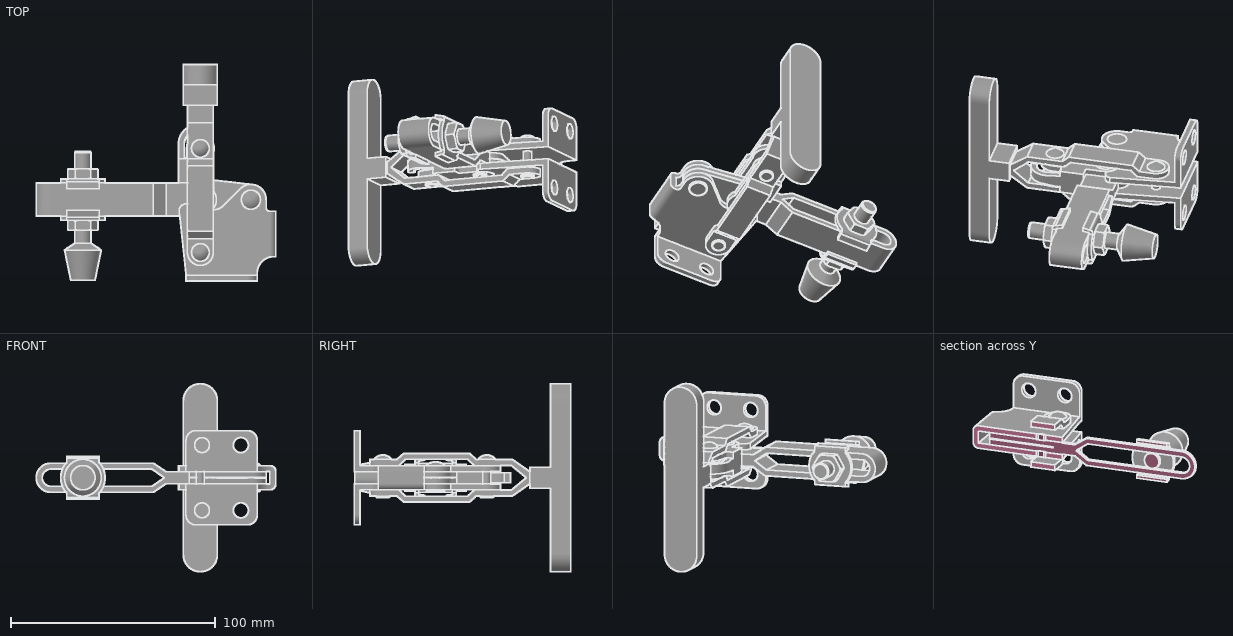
import cadquery as cq
import math


ARM_THICKNESS = 6.0
STRIP = ARM_THICKNESS / 2
PLATE_INNER = STRIP
PLATE_OUTER = 2 * STRIP
HANDLE_OUTER = 3 * STRIP
BULGE_OUTER = 4 * STRIP

BASE_HANDLE_PIVOT = (0, 14.1)
HANDLE_LINK_PIVOT = (0, 64.9)
LINK_ARM_PIVOT = (1.0, 39.8)
BASE_ARM_PIVOT = (24.7, 39.8)
PIN_RADIUS = 2.0

HANDLE_DOME_RADIUS = 4.3
HANDLE_DOME_HEIGHT = 2.2
ARM_DOME_RADIUS = 4.7
ARM_DOME_HEIGHT = 1.9
TAIL_HEAD_RADIUS = 3.3
BASE_TAIL_HEAD_RADIUS = 4.5
TAIL_HEAD_HEIGHT = 0.8
TAIL_HEAD_CHAMFER = 0.4

BASE_LEFT = -7.0
BASE_LENGTH = 34.9
BASE_RIGHT = BASE_LEFT + BASE_LENGTH
FLANGE_HALF_WIDTH = 23.1
FLANGE_CORNER = 4.9
MOUNT_HOLE_DIAMETER = 7.3
MOUNT_HOLE_X = (0.8, 19.8)
MOUNT_HOLE_Z = 15.9
LOBE_LEFT = -10.4
LOBE_SIDE_TOP = 34.8
LOBE_TOP = 37.9
LOBE_TOP_X = -6.3
LOBE_MID = (-9.3, 36.9)
VALLEY_Y = 34.9
VALLEY_FILLET = 6.5
SLOPE_ANGLE = 45
PIVOT_EYE = 7.5
EYE_RIGHT = BASE_ARM_PIVOT[0] + PIVOT_EYE
WEB_RIGHT = 36.9
WEB_INNER = WEB_RIGHT - STRIP
WEB_BOTTOM = 12.0
WEB_TOP = 34.2
WEB_BEND = 2.9
HEEL_RADIUS = 7.9

LINK_EYE = 6.8
LINK_EYE_CLEARANCE = 0.2
LINK_LEFT = -10.8
LINK_RIGHT = 6.5
LINK_WEB_BOTTOM = 48.0
LINK_WEB_TOP = 59.9
LINK_CORNER_FILLET = 1.0
HOOK_OUTER = 9.5
HOOK_CENTRE_Y = 67.0
HOOK_HALF_WIDTH = 2.5
HOOK_ROOT_Y = 62.5

ARM_BOTTOM = 31.8
ARM_TOP = LINK_WEB_BOTTOM
ARM_LEFT = -80.3
LOOP_OUTER = 7.1
LOOP_INNER = LOOP_OUTER - STRIP
LOOP_CENTRE_X = ARM_LEFT + LOOP_OUTER
LOOP_TAPER_START = -23.0
LOOP_TAPER_END = -16.8
SLOT_TAPER_START = -23.7
SLOT_APEX = -17.7
STOP_LEFT = -5.4
STOP_RIGHT = 1.9
TAIL_LOWER_RISE = 11
TAIL_UPPER_FALL = 6.5
TAIL_RAMP_START = -5.9
TAIL_SEAM = 0.2

GRIP_WIDTH = 16.8
GRIP_HALF_WIDTH = GRIP_WIDTH / 2
GRIP_LENGTH = 92.0
GRIP_TOP = 106.0
GRIP_BOTTOM = 96.0
STUB_BOTTOM = 86.0
STUB_HALF_DEPTH = 5.2
STRAP_HALF_WIDTH = 6.3
FORK_APEX = 84.1
FORK_OUTER_CORNER = 77.5
FORK_INNER_CORNER = 76.9
BULGE_OUTER_Y = (59.8, 56.5, 24.4, 20.9)
BULGE_INNER_Y = (58.7, 55.5, 25.2, 22.0)

SPINDLE_X = -57.4
SPINDLE_TOP = 63.5
ROD_RADIUS = 4.0
ROD_END_DROP = 0.7
ROD_END_INSET = 0.4
NUT_ACROSS_FLATS = 13.0
NUT_CORNER_RADIUS = NUT_ACROSS_FLATS / math.sqrt(3)
NUT_HEIGHT = 4.9
NUT_CHAMFER = 0.5
WASHER_RADIUS = 10.9
WASHER_THICKNESS = 2.0
EAR_HALF_WIDTH = 8.0
EAR_BEND_START = 8.3
EAR_BEND_MID = (1.6, 9.3)
EAR_BEND_END = (0.5, 9.6)
EAR_TIP = (-2.9, 10.4)
EAR_TIP_INNER = 8.5
EAR_ROOT_INNER = 8.1
TIP_TOP = 18.6
TIP_SHOULDER = 15.2
TIP_BOTTOM = 0.4
TIP_MAX_RADIUS = 9.0
TIP_END_RADIUS = 6.0


def circle_point(centre, radius, degrees):
    angle = math.radians(degrees)
    return (centre[0] + radius * math.cos(angle), centre[1] + radius * math.sin(angle))


def block(x_range, y_range, z_range):
    sizes = [high - low for low, high in (x_range, y_range, z_range)]
    return cq.Workplane("XY", origin=(x_range[0], y_range[0], z_range[0])).box(*sizes, centered=False)


def disc(centre, radius, z_low, z_high):
    plane = cq.Workplane("XY", origin=(centre[0], centre[1], z_low))
    return plane.circle(radius).extrude(z_high - z_low)


def both_sides(half):
    """The given shape joined with its mirror image in Z = 0."""
    return half.union(half.mirror("XY"))


def dome_arc_middle(base_radius, height):
    """Midpoint of the arc from the rim of a spherical cap to its top."""
    sphere = (base_radius**2 + height**2) / (2 * height)
    half_angle = math.asin(base_radius / sphere) / 2
    return (sphere * math.sin(half_angle), height - sphere * (1 - math.cos(half_angle)))


def rivet(centre, seat, dome_radius, dome_height, tail_radius):
    """Pin along Z with a domed head above +seat and a flat head below -seat."""
    shank = disc(centre, PIN_RADIUS, -seat, seat)
    dome = (
        cq.Workplane("XZ", origin=(centre[0], centre[1], seat))
        .lineTo(dome_radius, 0)
        .threePointArc(dome_arc_middle(dome_radius, dome_height), (0, dome_height))
        .close()
        .revolve(360, (0, 0), (0, 1))
    )
    tail = disc(centre, tail_radius, -seat - TAIL_HEAD_HEIGHT, -seat)
    tail = tail.faces("<Z").chamfer(TAIL_HEAD_CHAMFER)
    return shank.union(dome).union(tail)


def base_profile():
    """Outline shared by both side plates and the web that joins them, at full width."""
    clearance = LINK_EYE + LINK_EYE_CLEARANCE
    link_x, link_y = LINK_ARM_PIVOT
    valley_left = link_x - math.sqrt(clearance**2 - (LOBE_TOP - link_y) ** 2)
    valley_right = link_x + math.sqrt(clearance**2 - (VALLEY_Y - link_y) ** 2)
    slope_top = circle_point(BASE_ARM_PIVOT, PIVOT_EYE, SLOPE_ANGLE + 90)
    slope = math.radians(SLOPE_ANGLE)
    slope_foot_x = slope_top[0] - (slope_top[1] - VALLEY_Y) / math.tan(slope)
    setback = VALLEY_FILLET * math.tan(slope / 2)
    slope_start = (slope_foot_x + setback * math.cos(slope), VALLEY_Y + setback * math.sin(slope))
    shoulder_radius = WEB_INNER - EYE_RIGHT
    heel_centre = (BASE_RIGHT + HEEL_RADIUS, WEB_BOTTOM - HEEL_RADIUS)
    return (
        cq.Workplane("XY", origin=(0, 0, -PLATE_OUTER))
        .moveTo(BASE_LEFT, 0)
        .lineTo(BASE_LEFT, STRIP)
        .lineTo(LOBE_LEFT, LOBE_SIDE_TOP)
        .threePointArc(LOBE_MID, (LOBE_TOP_X, LOBE_TOP))
        .lineTo(valley_left, LOBE_TOP)
        .threePointArc((link_x, link_y - clearance), (valley_right, VALLEY_Y))
        .lineTo(slope_foot_x - setback, VALLEY_Y)
        .tangentArcPoint(slope_start, relative=False)
        .lineTo(*slope_top)
        .threePointArc(circle_point(BASE_ARM_PIVOT, PIVOT_EYE, 45), (EYE_RIGHT, BASE_ARM_PIVOT[1]))
        .lineTo(EYE_RIGHT, WEB_TOP + shoulder_radius)
        .tangentArcPoint((WEB_INNER, WEB_TOP), relative=False)
        .lineTo(WEB_RIGHT, WEB_TOP)
        .lineTo(WEB_RIGHT, WEB_BOTTOM)
        .lineTo(heel_centre[0], WEB_BOTTOM)
        .threePointArc(circle_point(heel_centre, HEEL_RADIUS, 135), (BASE_RIGHT, heel_centre[1]))
        .lineTo(BASE_RIGHT, 0)
        .close()
        .extrude(2 * PLATE_OUTER)
    )


def base_flange():
    flange = block((BASE_LEFT, BASE_RIGHT), (0, STRIP), (PLATE_INNER, FLANGE_HALF_WIDTH))
    flange = flange.faces(">Z").edges("|Y").fillet(FLANGE_CORNER)
    for x in MOUNT_HOLE_X:
        hole = cq.Workplane("XZ", origin=(x, STRIP, MOUNT_HOLE_Z)).circle(MOUNT_HOLE_DIAMETER / 2)
        flange = flange.cut(hole.extrude(STRIP))
    return flange


def make_base():
    channel = block((LOBE_LEFT, WEB_INNER), (0, BASE_ARM_PIVOT[1] + PIVOT_EYE), (-PLATE_INNER, PLATE_INNER))
    folded = base_profile().faces(">X").edges("|Y").fillet(WEB_BEND).cut(channel)
    folded = folded.union(both_sides(base_flange()))
    folded = folded.cut(disc(BASE_HANDLE_PIVOT, PIN_RADIUS, -PLATE_OUTER, PLATE_OUTER))
    return folded.union(
        rivet(BASE_ARM_PIVOT, PLATE_OUTER, ARM_DOME_RADIUS, ARM_DOME_HEIGHT, BASE_TAIL_HEAD_RADIUS)
    )


def arm_loop():
    """Strip folded round into a long loop, seen along Y."""
    loop = (
        cq.Workplane("XZ", origin=(0, ARM_TOP, 0))
        .moveTo(LOOP_TAPER_END, -STRIP)
        .lineTo(LOOP_TAPER_START, -LOOP_OUTER)
        .lineTo(LOOP_CENTRE_X, -LOOP_OUTER)
        .threePointArc((ARM_LEFT, 0), (LOOP_CENTRE_X, LOOP_OUTER))
        .lineTo(LOOP_TAPER_START, LOOP_OUTER)
        .lineTo(LOOP_TAPER_END, STRIP)
        .close()
        .extrude(ARM_TOP - ARM_BOTTOM)
    )
    slot = (
        cq.Workplane("XZ", origin=(0, ARM_TOP, 0))
        .moveTo(SLOT_APEX, 0)
        .lineTo(SLOT_TAPER_START, -LOOP_INNER)
        .lineTo(LOOP_CENTRE_X, -LOOP_INNER)
        .threePointArc((ARM_LEFT + STRIP, 0), (LOOP_CENTRE_X, LOOP_INNER))
        .lineTo(SLOT_TAPER_START, LOOP_INNER)
        .close()
        .extrude(ARM_TOP - ARM_BOTTOM)
    )
    return loop.cut(slot)


def arm_tail():
    """Joined strips from the loop to the base pivot, with a rounded stop below."""
    eye_low = circle_point(BASE_ARM_PIVOT, PIVOT_EYE, TAIL_LOWER_RISE - 90)
    eye_high = circle_point(BASE_ARM_PIVOT, PIVOT_EYE, 90 - TAIL_UPPER_FALL)
    stop_y = eye_low[1] - (eye_low[0] - STOP_RIGHT) * math.tan(math.radians(TAIL_LOWER_RISE))
    crest_y = eye_high[1] + eye_high[0] * math.tan(math.radians(TAIL_UPPER_FALL))
    return (
        cq.Workplane("XY", origin=(0, 0, -STRIP))
        .moveTo(LOOP_TAPER_END, ARM_TOP)
        .lineTo(TAIL_RAMP_START, ARM_TOP)
        .lineTo(0, crest_y)
        .lineTo(*eye_high)
        .threePointArc((EYE_RIGHT, BASE_ARM_PIVOT[1]), eye_low)
        .lineTo(STOP_RIGHT, stop_y)
        .tangentArcPoint((STOP_LEFT, ARM_BOTTOM), relative=False)
        .lineTo(LOOP_TAPER_END, ARM_BOTTOM)
        .close()
        .extrude(ARM_THICKNESS)
    )


def make_arm():
    seam = block((STOP_LEFT, EYE_RIGHT), (0, LINK_WEB_TOP), (-TAIL_SEAM / 2, TAIL_SEAM / 2))
    arm = arm_loop().union(arm_tail()).cut(seam)
    for pivot in (LINK_ARM_PIVOT, BASE_ARM_PIVOT):
        arm = arm.cut(disc(pivot, PIN_RADIUS, -STRIP, STRIP))
    return arm


def link_plate():
    """Plate with an eye at each pivot and a wide middle that carries the web."""
    low_x, low_y = LINK_ARM_PIVOT
    high_x, high_y = HANDLE_LINK_PIVOT
    neck = (
        cq.Workplane("XY", origin=(0, 0, PLATE_INNER))
        .moveTo(high_x - LINK_EYE, high_y)
        .lineTo(high_x - LINK_EYE, LINK_WEB_TOP)
        .lineTo(LINK_LEFT, LINK_WEB_TOP)
        .lineTo(LINK_LEFT, LINK_WEB_BOTTOM)
        .lineTo(low_x - LINK_EYE, LINK_WEB_BOTTOM)
        .lineTo(low_x - LINK_EYE, low_y)
        .lineTo(LINK_RIGHT, low_y)
        .lineTo(LINK_RIGHT, high_y)
        .close()
        .extrude(STRIP)
    )
    for x, y in ((high_x - LINK_EYE, LINK_WEB_TOP), (low_x - LINK_EYE, LINK_WEB_BOTTOM)):
        inner_corner = cq.selectors.NearestToPointSelector((x, y, PLATE_INNER + STRIP / 2))
        neck = neck.edges("|Z").edges(inner_corner).fillet(LINK_CORNER_FILLET)
    for pivot in (LINK_ARM_PIVOT, HANDLE_LINK_PIVOT):
        neck = neck.union(disc(pivot, LINK_EYE, PLATE_INNER, PLATE_OUTER))
    return neck


def link_hook():
    """Tongue of the web that curls over the handle-link pivot."""
    centre = (LINK_LEFT + HOOK_OUTER, HOOK_CENTRE_Y)
    inner = HOOK_OUTER - STRIP
    curl = (
        cq.Workplane("XY", origin=(0, 0, -HOOK_HALF_WIDTH))
        .moveTo(LINK_LEFT, LINK_WEB_TOP)
        .lineTo(LINK_LEFT, HOOK_CENTRE_Y)
        .threePointArc(circle_point(centre, HOOK_OUTER, 135), circle_point(centre, HOOK_OUTER, 90))
        .lineTo(*circle_point(centre, inner, 90))
        .threePointArc(circle_point(centre, inner, 135), circle_point(centre, inner, 180))
        .lineTo(LINK_LEFT + STRIP, LINK_WEB_TOP)
        .close()
        .extrude(2 * HOOK_HALF_WIDTH)
    )
    half_root = [
        (LINK_WEB_TOP, 0),
        (LINK_WEB_TOP, STRIP),
        (HOOK_ROOT_Y, STRIP),
        (HOOK_CENTRE_Y, HOOK_HALF_WIDTH),
        (HOOK_CENTRE_Y, 0),
    ]
    root = cq.Workplane("YZ", origin=(LINK_LEFT, 0, 0)).polyline(half_root).close().extrude(STRIP)
    return curl.union(both_sides(root))


def make_link():
    web = block(
        (LINK_LEFT, LINK_LEFT + STRIP), (LINK_WEB_BOTTOM, LINK_WEB_TOP), (-PLATE_OUTER, PLATE_OUTER)
    )
    handle_hole = disc(HANDLE_LINK_PIVOT, PIN_RADIUS, -PLATE_OUTER, PLATE_OUTER)
    folded = both_sides(link_plate()).union(web).union(link_hook()).cut(handle_hole)
    return folded.union(
        rivet(LINK_ARM_PIVOT, PLATE_OUTER, ARM_DOME_RADIUS, ARM_DOME_HEIGHT, TAIL_HEAD_RADIUS)
    )


def handle_grip():
    end_z = GRIP_LENGTH / 2 - GRIP_HALF_WIDTH
    grip = block(
        (-GRIP_HALF_WIDTH, GRIP_HALF_WIDTH),
        (GRIP_BOTTOM, GRIP_TOP),
        (-end_z, end_z),
    )
    for z in (-end_z, end_z):
        end = cq.Workplane("XZ", origin=(0, GRIP_TOP, z)).circle(GRIP_HALF_WIDTH)
        grip = grip.union(end.extrude(GRIP_TOP - GRIP_BOTTOM))
    stub = block(
        (-GRIP_HALF_WIDTH, GRIP_HALF_WIDTH),
        (STUB_BOTTOM, GRIP_BOTTOM),
        (-STUB_HALF_DEPTH, STUB_HALF_DEPTH),
    )
    return grip.union(stub)


def handle_strap():
    """One leg of the fork, bent outwards to clear the arm; outline in the YZ plane."""
    outer_z = (HANDLE_OUTER, BULGE_OUTER, BULGE_OUTER, HANDLE_OUTER)
    inner_z = (PLATE_OUTER, HANDLE_OUTER, HANDLE_OUTER, PLATE_OUTER)
    outer = [(STUB_BOTTOM, 0), (STUB_BOTTOM, STRIP), (FORK_OUTER_CORNER, HANDLE_OUTER)]
    outer += [*zip(BULGE_OUTER_Y, outer_z), (BASE_HANDLE_PIVOT[1], HANDLE_OUTER)]
    inner = [(FORK_APEX, 0), (FORK_INNER_CORNER, PLATE_OUTER)]
    inner += [*zip(BULGE_INNER_Y, inner_z), (BASE_HANDLE_PIVOT[1], PLATE_OUTER)]
    strap = (
        cq.Workplane("YZ", origin=(-STRAP_HALF_WIDTH, 0, 0))
        .polyline(outer + inner[::-1])
        .close()
        .extrude(2 * STRAP_HALF_WIDTH)
    )
    return strap.union(disc(BASE_HANDLE_PIVOT, STRAP_HALF_WIDTH, PLATE_OUTER, HANDLE_OUTER))


def make_handle():
    handle = handle_grip().union(both_sides(handle_strap()))
    for pivot in (BASE_HANDLE_PIVOT, HANDLE_LINK_PIVOT):
        handle = handle.union(
            rivet(pivot, HANDLE_OUTER, HANDLE_DOME_RADIUS, HANDLE_DOME_HEIGHT, TAIL_HEAD_RADIUS)
        )
    return handle


def spindle_rod():
    """Threaded rod and rubber tip turned about the spindle axis."""
    profile = [
        (0, TIP_BOTTOM),
        (TIP_END_RADIUS, TIP_BOTTOM),
        (TIP_MAX_RADIUS, TIP_SHOULDER),
        (ROD_RADIUS, TIP_TOP),
        (ROD_RADIUS, SPINDLE_TOP - ROD_END_DROP),
        (ROD_RADIUS - ROD_END_INSET, SPINDLE_TOP),
        (0, SPINDLE_TOP),
    ]
    return cq.Workplane("XY").polyline(profile).close().revolve(360, (0, 0), (0, 1))


def flanged_washer():
    """Washer on the arm's upper face, with two ears folded down over the arm's sides."""
    top = ARM_TOP + WASHER_THICKNESS
    plane = cq.Workplane("XZ", origin=(0, top, 0))
    washer = plane.circle(WASHER_RADIUS).extrude(WASHER_THICKNESS)
    washer = washer.intersect(
        block((-WASHER_RADIUS, WASHER_RADIUS), (ARM_TOP, top), (-EAR_ROOT_INNER, EAR_ROOT_INNER))
    )
    ear = (
        cq.Workplane("YZ", origin=(-EAR_HALF_WIDTH, 0, 0))
        .moveTo(ARM_TOP, 0)
        .lineTo(top, 0)
        .lineTo(top, EAR_BEND_START)
        .threePointArc(
            (ARM_TOP + EAR_BEND_MID[0], EAR_BEND_MID[1]), (ARM_TOP + EAR_BEND_END[0], EAR_BEND_END[1])
        )
        .lineTo(ARM_TOP + EAR_TIP[0], EAR_TIP[1])
        .lineTo(ARM_TOP + EAR_TIP[0], EAR_TIP_INNER)
        .lineTo(ARM_TOP, EAR_ROOT_INNER)
        .close()
        .extrude(2 * EAR_HALF_WIDTH)
    )
    return washer.union(both_sides(ear))


def nut():
    """Hexagon nut on the upper washer, with corners bevelled at both ends."""
    top = ARM_TOP + WASHER_THICKNESS + NUT_HEIGHT
    plane = cq.Workplane("XZ", origin=(0, top, 0))
    hexagon = plane.polygon(6, 2 * NUT_CORNER_RADIUS).extrude(NUT_HEIGHT)
    bevelled = plane.circle(NUT_CORNER_RADIUS).extrude(NUT_HEIGHT).edges().chamfer(NUT_CHAMFER)
    return hexagon.intersect(bevelled)


def make_spindle():
    upper = flanged_washer().union(nut())
    lower = upper.mirror("XZ", (0, (ARM_TOP + ARM_BOTTOM) / 2, 0))
    return spindle_rod().union(upper).union(lower).translate((SPINDLE_X, 0, 0))


base = make_base()
arm = make_arm()
link = make_link()
handle = make_handle()
spindle = make_spindle()
result = cq.Compound.makeCompound([body.solids().val() for body in (base, arm, link, handle, spindle)])